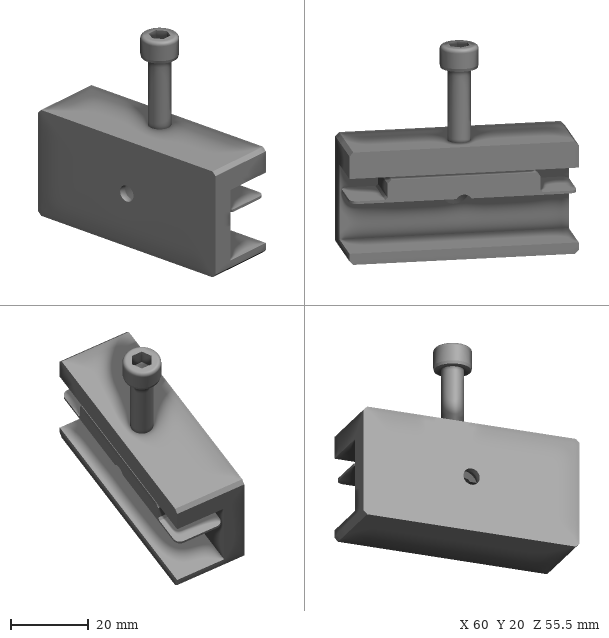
import cadquery as cq
import math

LENGTH = 60.0
DEPTH = 20.0
HEIGHT = 30.0
WALL = 6.0
TOP_ARM = 7.0
BOTTOM_ARM = 3.0
EDGE_CHAMFER = 1.0
CROSS_HOLE_DIAMETER = 4.5
CROSS_HOLE_Z = HEIGHT / 2
COUNTERBORE_DIAMETER = 8.0
COUNTERBORE_FLOOR = 2.0

SCREW_Y = 13.0
TOTAL_HEIGHT = 55.5
HEAD_DIAMETER = 10.0
HEAD_HEIGHT = 6.0
HEAD_FILLET = 1.0
HEAD_TAPER_HEIGHT = 0.8
HEAD_TAPER_INSET = 0.2
SHANK_DIAMETER = 6.0
TIP_DIAMETER = 4.0
SOCKET_FLATS = 5.0
SOCKET_DEPTH = 4.0
SOCKET_CONE_DEPTH = 1.2

JAW_GAP = 0.8
JAW_HEIGHT = 6.05
PLATE_LENGTH = 59.4
PLATE_DEPTH = 13.8
PLATE_THICKNESS = 0.7
PLATE_CORNER_RADIUS = 2.0
BLOCK_LENGTH = 40.0
BLOCK_WALL_GAP = 0.25
BLOCK_CHAMFER = 1.0
BLOCK_FOOT = 0.6

TOP_ARM_UNDERSIDE = HEIGHT - TOP_ARM
JAW_TOP = TOP_ARM_UNDERSIDE - JAW_GAP
JAW_BOTTOM = JAW_TOP - JAW_HEIGHT
JAW_FRONT = WALL + PLATE_DEPTH


def cylinder_up(diameter, bottom, top):
    """Vertical cylinder on the screw axis."""
    return (
        cq.Workplane("XY", origin=(0, SCREW_Y, bottom))
        .circle(diameter / 2)
        .extrude(top - bottom)
    )


def cylinder_back(diameter, front, back):
    """Cylinder along Y on the cross hole axis."""
    return (
        cq.Workplane("XZ", origin=(0, front, CROSS_HOLE_Z))
        .circle(diameter / 2)
        .extrude(front - back)
    )


def make_housing():
    body = (
        cq.Workplane("XY")
        .box(LENGTH, DEPTH, HEIGHT, centered=(True, False, False))
        .edges("|Y")
        .chamfer(EDGE_CHAMFER)
    )
    channel = cq.Workplane("XY", origin=(0, WALL, BOTTOM_ARM)).box(
        LENGTH, DEPTH - WALL, TOP_ARM_UNDERSIDE - BOTTOM_ARM, centered=(True, False, False)
    )
    screw_hole = cylinder_up(SHANK_DIAMETER, TOP_ARM_UNDERSIDE, HEIGHT)
    wall_hole = cylinder_back(CROSS_HOLE_DIAMETER, 0, WALL)
    counterbore = cylinder_back(COUNTERBORE_DIAMETER, COUNTERBORE_FLOOR, WALL)
    return body.cut(channel).cut(screw_hole).cut(wall_hole).cut(counterbore)


def make_screw():
    head_bottom = TOTAL_HEIGHT - HEAD_HEIGHT
    head = (
        cylinder_up(HEAD_DIAMETER, head_bottom, TOTAL_HEIGHT)
        .faces(">Z").edges().fillet(HEAD_FILLET)
        .faces("<Z").edges().chamfer(HEAD_TAPER_HEIGHT, HEAD_TAPER_INSET)
    )
    corner_diameter = SOCKET_FLATS / math.cos(math.pi / 6)
    socket_floor = TOTAL_HEIGHT - SOCKET_DEPTH
    socket = (
        cq.Workplane("XY", origin=(0, SCREW_Y, socket_floor))
        .transformed(rotate=(0, 0, 90))
        .polygon(6, corner_diameter)
        .extrude(SOCKET_DEPTH)
    )
    cone = cq.Solid.makeCone(
        corner_diameter / 2, 0, SOCKET_CONE_DEPTH,
        pnt=cq.Vector(0, SCREW_Y, socket_floor), dir=cq.Vector(0, 0, -1),
    )
    floor_cone = cq.Workplane(cone).intersect(socket.translate((0, 0, -SOCKET_DEPTH)))
    shank = cylinder_up(SHANK_DIAMETER, TOP_ARM_UNDERSIDE, head_bottom)
    tip = cylinder_up(TIP_DIAMETER, JAW_TOP, TOP_ARM_UNDERSIDE)
    return head.cut(socket).cut(floor_cone).union(shank).union(tip)


def make_jaw():
    plate = (
        cq.Workplane("XY", origin=(0, WALL, JAW_BOTTOM))
        .box(PLATE_LENGTH, PLATE_DEPTH, PLATE_THICKNESS, centered=(True, False, False))
        .edges("|Z")
        .fillet(PLATE_CORNER_RADIUS)
    )
    half = BLOCK_LENGTH / 2
    plate_top = JAW_BOTTOM + PLATE_THICKNESS
    block = (
        cq.Workplane("XZ", origin=(0, JAW_FRONT, 0))
        .moveTo(half + BLOCK_FOOT, plate_top)
        .lineTo(half, plate_top + BLOCK_FOOT)
        .lineTo(half, JAW_TOP - BLOCK_CHAMFER)
        .lineTo(half - BLOCK_CHAMFER, JAW_TOP)
        .lineTo(0, JAW_TOP)
        .lineTo(0, plate_top)
        .close()
        .extrude(PLATE_DEPTH - BLOCK_WALL_GAP)
    )
    groove = cylinder_back(CROSS_HOLE_DIAMETER, WALL, DEPTH)
    return plate.union(block).union(block.mirror("YZ")).cut(groove)


housing = make_housing()
screw = make_screw()
jaw = make_jaw()

result = cq.Compound.makeCompound([housing.val(), screw.val(), jaw.val()])